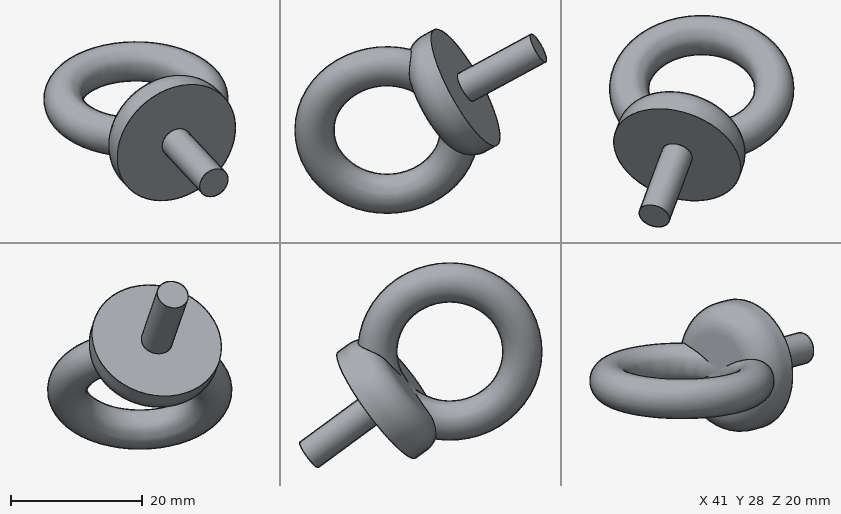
import cadquery as cq

overall_length = 41.0
ring_outer_diameter = 28.0
ring_wire_diameter = 6.0
collar_diameter = 20.0
collar_round = 4.0
shank_diameter = 4.8

collar_thickness = ring_wire_diameter
ring_radius = (ring_outer_diameter - ring_wire_diameter) / 2
collar_front_x = ring_outer_diameter / 2 - collar_thickness
collar_back_x = collar_front_x + collar_thickness
shank_length = overall_length - ring_outer_diameter


def make_ring():
    """Round-wire ring lying in the XY plane, centred on the origin."""
    return cq.Workplane(cq.Solid.makeTorus(ring_radius, ring_wire_diameter / 2))


def make_collar():
    """Disc along X with its ring-side rim rounded."""
    disc = (
        cq.Workplane("YZ", origin=(collar_front_x, 0, 0))
        .circle(collar_diameter / 2)
        .extrude(collar_thickness)
    )
    return disc.faces("<X").edges().fillet(collar_round)


def make_shank():
    """Plain round shank leaving the back of the collar."""
    return (
        cq.Workplane("YZ", origin=(collar_back_x, 0, 0))
        .circle(shank_diameter / 2)
        .extrude(shank_length)
    )


result = make_collar().union(make_shank()).union(make_ring())